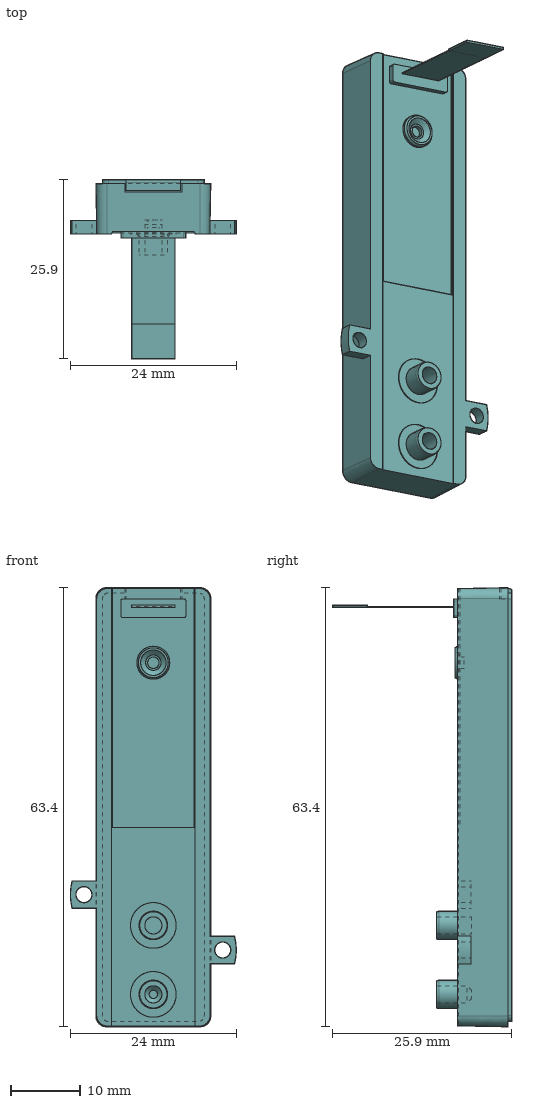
import cadquery as cq

housing_length = 63.4
housing_width = 16.6
housing_back = 12.4
housing_front = 5.1
housing_corner_radius = 1.6
housing_draft = 1.1

cover_back = 12.95
cover_width = 14.7
cover_length = 61.9
cover_corner_radius = 0.9
tab_width = 7.85
tab_front = 11.35
tab_top = 31.6
tab_edge_radius = 0.4
tab_gap = 0.2

channel_width = 12.05
channel_depth = 0.1
pocket_width = 11.8
pocket_depth = 0.4
pocket_bottom = -2.9

ear_reach = 12.0
ear_height = 4.0
ear_end_bulge = 0.25
ear_root_offset = 0.65
ear_thickness = 1.95
ear_hole_offset = 10.0
ear_hole_diameter = 2.3
left_ear_z = -12.6
right_ear_z = -20.6

fitting_diameter = 4.1
fitting_tip = 2.0
fitting_chamfer_length = 0.4
fitting_chamfer_width = 0.095
fitting_bore = 2.5
fitting_bore_depth = 5.1
fitting_cone_length = 0.65
fitting_cone_end = 1.2
fitting_pad_diameter = 6.6
upper_fitting_z = -17.05
lower_fitting_z = -27.0

socket_z = 20.9
socket_base_diameter = 4.75
socket_rim_diameter = 4.3
socket_front = 4.7
socket_mouth = 3.7
socket_floor = 2.2
socket_floor_depth = 0.7
socket_pin_hole = 1.65
socket_pin_hole_depth = 0.65

connector_width = 9.4
connector_height = 2.7
connector_z = 28.75
connector_front = 4.5
connector_corner_radius = 0.3
cable_width = 6.3
cable_tip = -12.95
cable_bottom = 28.85
cable_thickness = 0.1
stiffener_start = -7.9
stiffener_thickness = 0.3

housing_top = housing_length / 2
channel_floor = housing_front + channel_depth
pocket_floor = housing_front + pocket_depth


def block(x_size, y_range, z_range):
    """Box centred on X, between two Y values and two Z values."""
    y_low, y_high = y_range
    z_low, z_high = z_range
    return (
        cq.Workplane("XY")
        .box(x_size, y_high - y_low, z_high - z_low, centered=(True, False, False))
        .translate((0, y_low, z_low))
    )


def facing_front(y, z=0.0):
    """Workplane at depth y whose extrusions go towards the front (-Y)."""
    return cq.Workplane("XZ", origin=(0, y, z))


def rounded_slab(width, length, radius, back, front, draft=0.0):
    outline = cq.Sketch().rect(width, length).vertices().fillet(radius)
    return facing_front(back).placeSketch(outline).extrude(back - front, taper=draft)


def turned(profile, z):
    """Turn a closed profile of (radius, y) points about the Y axis at height z."""
    return cq.Workplane("XY", origin=(0, 0, z)).polyline(profile).close().revolve(360, (0, 0), (0, 1))


def make_housing():
    housing = rounded_slab(
        housing_width, housing_length, housing_corner_radius, housing_back, housing_front, housing_draft
    )
    channel = block(channel_width, (housing_front, channel_floor), (-housing_top, housing_top))
    pocket = block(pocket_width, (housing_front, pocket_floor), (pocket_bottom, housing_top))
    return housing.cut(channel).cut(pocket)


def add_cover(body):
    cover = rounded_slab(cover_width, cover_length, cover_corner_radius, cover_back, housing_back)
    tab_bottom = cover_length / 2 - cover_corner_radius
    tab = block(tab_width, (tab_front, cover_back), (tab_bottom, tab_top))
    tab = tab.edges(">Y and >Z").fillet(tab_edge_radius)
    notch = block(
        tab_width + 2 * tab_gap, (tab_front - tab_gap, housing_back), (tab_bottom, housing_top)
    )
    return body.cut(notch).union(cover).union(tab)


def make_ear(side, z):
    """Ear on side -1 (left) or +1 (right); its end is a shallow arc."""
    half_height = ear_height / 2
    corner_x = ear_reach - ear_end_bulge
    root_x = channel_width / 2 + ear_root_offset
    return (
        facing_front(housing_front + ear_thickness, z)
        .moveTo(side * root_x, -half_height)
        .lineTo(side * corner_x, -half_height)
        .threePointArc((side * ear_reach, 0), (side * corner_x, half_height))
        .lineTo(side * root_x, half_height)
        .close()
        .moveTo(side * ear_hole_offset, 0)
        .circle(ear_hole_diameter / 2)
        .extrude(ear_thickness)
    )


def make_fitting(z):
    radius = fitting_diameter / 2
    pad_radius = fitting_pad_diameter / 2
    return turned(
        [
            (0, channel_floor),
            (pad_radius, channel_floor),
            (pad_radius, housing_front),
            (radius, housing_front),
            (radius, fitting_tip + fitting_chamfer_length),
            (radius - fitting_chamfer_width, fitting_tip),
            (0, fitting_tip),
        ],
        z,
    )


def make_fitting_bore(z, end_diameter):
    """Blind bore whose last stretch narrows to its end diameter."""
    radius = fitting_bore / 2
    bore_end = fitting_tip + fitting_bore_depth
    return turned(
        [
            (0, fitting_tip),
            (radius, fitting_tip),
            (radius, bore_end - fitting_cone_length),
            (end_diameter / 2, bore_end),
            (0, bore_end),
        ],
        z,
    )


def add_socket(body):
    rim_radius = socket_rim_diameter / 2
    base_radius = socket_base_diameter / 2
    floor = socket_front + socket_floor_depth
    pin_hole_end = floor + socket_pin_hole_depth
    collar = turned(
        [
            (0, pocket_floor),
            (base_radius, pocket_floor),
            (base_radius, housing_front),
            (rim_radius, socket_front),
            (0, socket_front),
        ],
        socket_z,
    )
    cavity = turned(
        [
            (0, socket_front),
            (socket_mouth / 2, socket_front),
            (socket_floor / 2, floor),
            (socket_pin_hole / 2, floor),
            (socket_pin_hole / 2, pin_hole_end),
            (0, pin_hole_end),
        ],
        socket_z,
    )
    return body.union(collar).cut(cavity)


def make_connector():
    half_height = connector_height / 2
    connector = block(
        connector_width,
        (connector_front, pocket_floor),
        (connector_z - half_height, connector_z + half_height),
    )
    connector = connector.edges("|Y").fillet(connector_corner_radius)
    cable = block(cable_width, (cable_tip, connector_front), (cable_bottom, cable_bottom + cable_thickness))
    stiffener = block(
        cable_width, (cable_tip, stiffener_start), (cable_bottom, cable_bottom + stiffener_thickness)
    )
    return connector.union(cable).union(stiffener)


result = add_cover(make_housing())
for ear_side, ear_z in ((-1, left_ear_z), (1, right_ear_z)):
    result = result.union(make_ear(ear_side, ear_z))
for fitting_z, bore_end_diameter in ((upper_fitting_z, fitting_bore), (lower_fitting_z, fitting_cone_end)):
    result = result.union(make_fitting(fitting_z)).cut(make_fitting_bore(fitting_z, bore_end_diameter))
result = add_socket(result).union(make_connector())